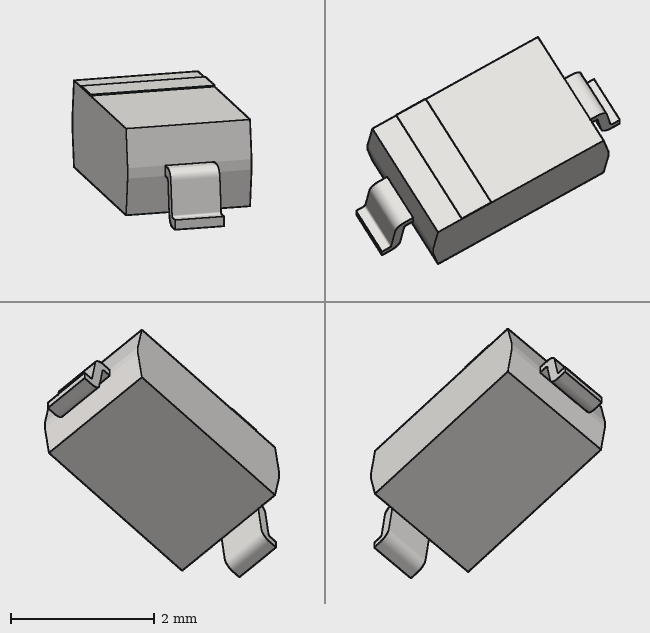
import cadquery as cq
import math

overall_length = 3.86
overall_height = 1.37

band_thickness = 0.02
band_width = 0.48
band_start = -0.957

body_length = 2.85
body_width = 1.8
body_end_inset = 0.08
body_bottom = 0.095
body_top = overall_height - band_thickness

lead_thickness = 0.15
foot_thickness = 0.143
lead_width = 0.71
lead_lean = 7.5
foot_corner = 0.145
bend_inner_radius = 0.035
bend_outer_radius = 0.162

waist_middle = (body_bottom + body_top) / 2
waist_bottom = waist_middle - lead_thickness / 2
waist_top = waist_middle + lead_thickness / 2
waist_half = body_length / 2
end_half = waist_half - body_end_inset
lead_tip = overall_length / 2


def extrude_across(profile, width):
    """Extrude an XZ profile symmetrically about the plane Y = 0."""
    return profile.extrude(width / 2, both=True)


def make_body():
    profile = (
        cq.Workplane("XZ")
        .moveTo(-end_half, body_bottom)
        .lineTo(end_half, body_bottom)
        .lineTo(waist_half, waist_bottom)
        .lineTo(waist_half, waist_top)
        .lineTo(end_half, body_top)
        .lineTo(-end_half, body_top)
        .lineTo(-waist_half, waist_top)
        .lineTo(-waist_half, waist_bottom)
        .close()
    )
    return extrude_across(profile, body_width)


def make_marking_band():
    band_center = band_start + band_width / 2
    return (
        cq.Workplane("XY", origin=(band_center, 0, body_top))
        .rect(band_width, body_width)
        .extrude(band_thickness)
    )


def make_left_lead():
    slope = math.tan(math.radians(lead_lean))
    leg_thickness_x = lead_thickness / math.cos(math.radians(lead_lean))

    def leg_outer_x(z):
        return -lead_tip + foot_corner + (z - foot_thickness) * slope

    def leg_inner_x(z):
        return leg_outer_x(z) + leg_thickness_x

    foot_inside = (leg_outer_x(foot_thickness), foot_thickness)
    foot_outside = (leg_inner_x(0), 0)
    shoulder_inside = (leg_inner_x(waist_bottom), waist_bottom)
    shoulder_outside = (leg_outer_x(waist_top), waist_top)

    profile = (
        cq.Workplane("XZ")
        .moveTo(-lead_tip, 0)
        .lineTo(*foot_outside)
        .lineTo(*shoulder_inside)
        .lineTo(-waist_half, waist_bottom)
        .lineTo(-waist_half, waist_top)
        .lineTo(*shoulder_outside)
        .lineTo(*foot_inside)
        .lineTo(-lead_tip, foot_thickness)
        .close()
    )
    lead = extrude_across(profile, lead_width)

    def round_bends(solid, corners, radius):
        for x, z in corners:
            solid = solid.edges(cq.NearestToPointSelector((x, 0, z))).fillet(radius)
        return solid

    lead = round_bends(lead, [foot_inside, shoulder_inside], bend_inner_radius)
    return round_bends(lead, [foot_outside, shoulder_outside], bend_outer_radius)


leads = [
    make_left_lead().rotate((0, 0, 0), (0, 0, 1), turn)
    for turn in (0, 180)
]
body = make_body()
marking_band = make_marking_band()

result = cq.Compound.makeCompound(
    [body.val(), marking_band.val(), *[lead.val() for lead in leads]]
)